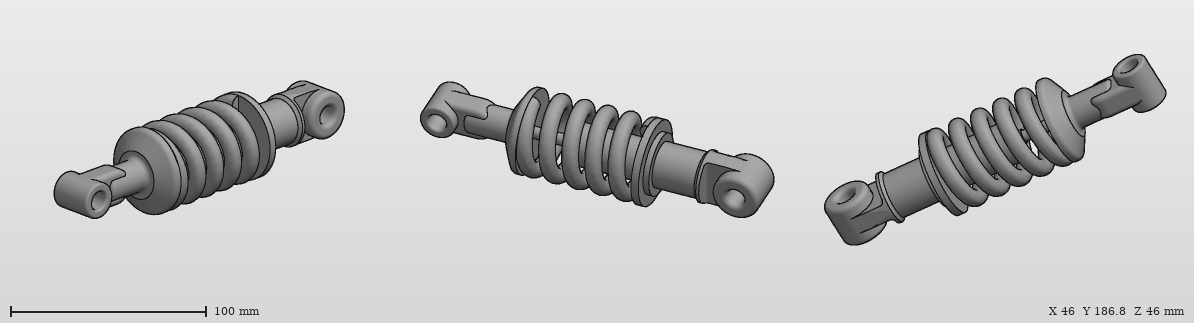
import cadquery as cq
import math

length = 186.8
eye_width = 24.3

upper_eye_dia = 25.4
upper_bore_dia = 9.9
upper_eye_round = 2.6
upper_eye_y = (length - upper_eye_dia) / 2
upper_tang_width = 9.7
upper_tang_flare = 2.2

collar_dia = 28.0
collar_top_y = 61.6
collar_rim = 1.7
barrel_dia = 24.7
tube_dia = 22.8
barrel_end_y = 35.1
tube_end_y = -12.1

seat_dia = 46.0
seat_hub_dia = 33.5
seat_hub_height = 3.2
seat_plate_height = 4.1
spring_top_y = barrel_end_y - seat_hub_height - seat_plate_height

spring_bottom_y = -36.0
wire_dia = 8.8
spring_turns = 5
coil_radius = (seat_dia - wire_dia) / 2

rod_dia = 6.4
rod_head_dia = 7.7
rod_head_end_y = -17.0
cone_rim_height = 3.5
cone_height = 9.5
cone_rim_round = 2.8
cone_small_dia = 25.8
shank_dia = 17.4
shank_end_y = -71.2
shank_root_round = 2.5
shank_end_round = 2.6

lower_eye_dia = 19.0
lower_bore_dia = 10.0
lower_eye_round = 1.3
lower_eye_y = (lower_eye_dia - length) / 2
lower_tang_width = 13.3
lower_tang_start_y = -64.8
lower_tang_round = 2.8


def cylinder(dia, start_y, end_y):
    """Solid cylinder on the Y axis between two places on it."""
    return cq.Workplane("XZ", origin=(0, end_y, 0)).circle(dia / 2).extrude(end_y - start_y)


def eye_cylinder(dia, y):
    """Solid cylinder along X, as long as an eye is wide."""
    side = cq.Workplane("YZ", origin=(-eye_width / 2, y, 0))
    return side.circle(dia / 2).extrude(eye_width)


def add_eye(body, dia, bore_dia, y, edge_round):
    """Join a bored eye with rounded rims to a body, keeping the bore clear of the tang."""
    bore = eye_cylinder(bore_dia, y)
    eye = eye_cylinder(dia, y).cut(bore).faces("<X or >X").edges().fillet(edge_round)
    return body.cut(bore).union(eye)


def make_upper_tang():
    """Flat tang widening in height from the eye to the collar and flared where it meets it."""
    half = upper_tang_width / 2
    flare_start_y = collar_top_y + upper_tang_flare
    flare_half = half + upper_tang_flare
    flare_step = upper_tang_flare * (1 - math.sqrt(0.5))
    flare_mid = (half + flare_step, collar_top_y + flare_step)
    plan = (
        cq.Workplane("XY")
        .moveTo(half, upper_eye_y)
        .lineTo(half, flare_start_y)
        .threePointArc(flare_mid, (flare_half, collar_top_y))
        .lineTo(-flare_half, collar_top_y)
        .threePointArc((-flare_mid[0], flare_mid[1]), (-half, flare_start_y))
        .lineTo(-half, upper_eye_y)
        .close()
        .extrude(collar_dia, both=True)
    )
    taper = (
        cq.Workplane("YZ")
        .polyline([
            (upper_eye_y, upper_eye_dia / 2),
            (collar_top_y, collar_dia / 2),
            (collar_top_y, -collar_dia / 2),
            (upper_eye_y, -upper_eye_dia / 2),
        ])
        .close()
        .extrude(collar_dia, both=True)
    )
    return plan.intersect(taper).intersect(cylinder(collar_dia, collar_top_y, upper_eye_y))


def make_housing():
    """Upper eye, tang, collar, barrel and tube."""
    collar_edge_y = collar_top_y - collar_rim
    cone_end_y = collar_edge_y - (collar_dia - barrel_dia) / 2
    barrel = (
        cq.Workplane("XY")
        .polyline([
            (0, collar_top_y),
            (collar_dia / 2, collar_top_y),
            (collar_dia / 2, collar_edge_y),
            (barrel_dia / 2, cone_end_y),
            (barrel_dia / 2, barrel_end_y),
            (tube_dia / 2, barrel_end_y),
            (tube_dia / 2, tube_end_y),
            (0, tube_end_y),
        ])
        .close()
        .revolve(360, (0, 0, 0), (0, 1, 0))
    )
    body = barrel.union(make_upper_tang())
    return add_eye(body, upper_eye_dia, upper_bore_dia, upper_eye_y, upper_eye_round)


def make_upper_seat():
    """Flanged ring fitted on the tube, bearing against the end of the barrel."""
    hub = cylinder(seat_hub_dia, spring_top_y, barrel_end_y)
    plate = cylinder(seat_dia, spring_top_y, spring_top_y + seat_plate_height)
    return hub.union(plate).cut(cylinder(tube_dia, spring_top_y, barrel_end_y))


def make_spring():
    """Helical wire whose centreline runs from seat to seat, trimmed flush with both."""
    spring_length = spring_top_y - spring_bottom_y
    path = cq.Wire.makeHelix(spring_length / spring_turns, spring_length, coil_radius)
    coil = cq.Workplane("XZ").center(coil_radius, 0).circle(wire_dia / 2).sweep(path, isFrenet=True)
    axis = cq.Plane(origin=(0, spring_top_y, 0), xDir=(0, 0, 1), normal=(0, -1, 0))
    placed = cq.Workplane(coil.val().moved(cq.Location(axis)))
    trim_dia = seat_dia + wire_dia
    return placed.intersect(cylinder(trim_dia, spring_bottom_y, spring_top_y))


def make_lower_seat():
    """Conical spring seat with a rounded rim."""
    cone_end_y = spring_bottom_y - cone_height
    rim_y = spring_bottom_y - cone_rim_height
    seat = (
        cq.Workplane("XY")
        .polyline([
            (0, spring_bottom_y),
            (seat_dia / 2, spring_bottom_y),
            (seat_dia / 2, rim_y),
            (cone_small_dia / 2, cone_end_y),
            (0, cone_end_y),
        ])
        .close()
        .revolve(360, (0, 0, 0), (0, 1, 0))
    )
    rim_edge = cq.selectors.NearestToPointSelector((0, rim_y, 0))
    return seat.edges("%CIRCLE").edges(rim_edge).fillet(cone_rim_round)


def make_shank():
    """Round shank with a filleted root on the cone and a rounded free end."""
    root_y = spring_bottom_y - cone_height
    shank = cylinder(shank_dia, shank_end_y, root_y).faces("<Y").edges().fillet(shank_end_round)
    root_radius = shank_dia / 2 + shank_root_round
    step = shank_root_round * (1 - math.sqrt(0.5))
    root = (
        cq.Workplane("XY")
        .moveTo(0, root_y)
        .lineTo(root_radius, root_y)
        .threePointArc(
            (shank_dia / 2 + step, root_y - step),
            (shank_dia / 2, root_y - shank_root_round),
        )
        .lineTo(0, root_y - shank_root_round)
        .close()
        .revolve(360, (0, 0, 0), (0, 1, 0))
    )
    return shank.union(root)


def make_lower_tang():
    """Bar from a rounded end on the shank to the eye centre, with its long edges rounded."""
    span = lower_tang_start_y - lower_eye_y
    bar = (
        cq.Workplane("YZ")
        .center((lower_tang_start_y + lower_eye_y) / 2, 0)
        .slot2D(span + lower_eye_dia, lower_eye_dia)
        .extrude(lower_tang_width / 2, both=True)
        .faces("<X or >X")
        .edges()
        .fillet(lower_tang_round)
    )
    return bar.cut(cylinder(2 * lower_eye_dia, lower_eye_y - lower_eye_dia, lower_eye_y))


def make_lower_end():
    """Piston rod, spring seat, shank, tang and lower eye."""
    rod = cylinder(rod_dia, spring_bottom_y, tube_end_y)
    rod_head = cylinder(rod_head_dia, rod_head_end_y, tube_end_y)
    body = make_lower_seat().union(rod).union(rod_head).union(make_shank()).union(make_lower_tang())
    return add_eye(body, lower_eye_dia, lower_bore_dia, lower_eye_y, lower_eye_round)


housing = make_housing()
upper_seat = make_upper_seat()
spring = make_spring()
lower_end = make_lower_end()

result = cq.Compound.makeCompound([
    housing.val(),
    upper_seat.val(),
    spring.val(),
    lower_end.val(),
])